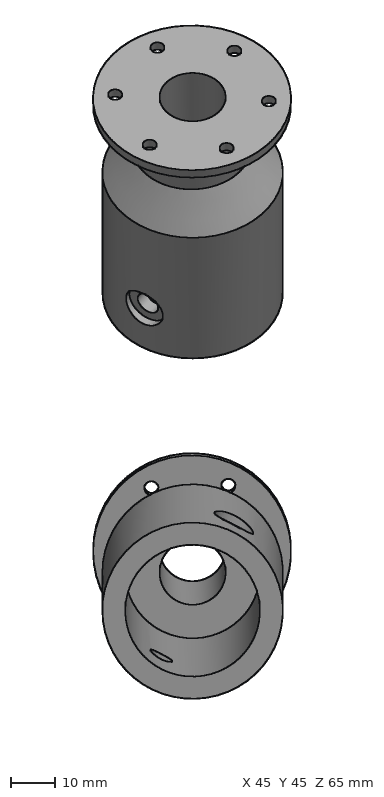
import cadquery as cq

total_height = 65.0
flange_diameter = 45.0
flange_thickness = 2.5
neck_diameter = 27.5
body_diameter = 41.0
body_height = 40.2
cone_top_diameter = 26.0
cone_top_height = 50.6
body_offset_y = 0.25

bore_diameter = 15.0
cavity_diameter = 30.6
cavity_depth = body_height

bolt_count = 6
bolt_diameter = 3.2
bolt_circle_diameter = 35.0

cross_hole_diameter = 5.5
cross_hole_height = 13.0
counterbore_diameter = 10.0
counterbore_depth = 2.0


def make_body():
    """Cylindrical body with its conical shoulder."""
    return (
        cq.Workplane("XZ", origin=(0, body_offset_y, 0))
        .lineTo(body_diameter / 2, 0)
        .lineTo(body_diameter / 2, body_height)
        .lineTo(cone_top_diameter / 2, cone_top_height)
        .lineTo(0, cone_top_height)
        .close()
        .revolve(360, (0, 0, 0), (0, 1, 0))
    )


def make_neck():
    """Neck that starts inside the body and runs up to the flange top."""
    return (
        cq.Workplane("XY", origin=(0, 0, body_height))
        .circle(neck_diameter / 2)
        .extrude(total_height - body_height)
    )


def make_flange():
    """Round flange with a ring of bolt holes, one of them on +Y."""
    return (
        cq.Workplane("XY", origin=(0, 0, total_height - flange_thickness))
        .circle(flange_diameter / 2)
        .extrude(flange_thickness)
        .faces(">Z")
        .workplane()
        .polarArray(bolt_circle_diameter / 2, 90, 360, bolt_count)
        .hole(bolt_diameter)
    )


def cylinder_along_y(diameter, start_y, length):
    """Cylinder along +Y at the height of the cross hole."""
    axis_start = cq.Vector(0, start_y, cross_hole_height)
    cylinder = cq.Solid.makeCylinder(diameter / 2, length, axis_start, cq.Vector(0, 1, 0))
    return cq.Workplane(cylinder)


result = make_body().union(make_neck()).union(make_flange())

bore = cq.Workplane("XY", origin=(0, body_offset_y, 0)).circle(bore_diameter / 2).extrude(total_height)
result = result.cut(bore)

cavity = cq.Workplane("XY", origin=(0, body_offset_y, 0)).circle(cavity_diameter / 2).extrude(cavity_depth)
result = result.cut(cavity)

result = result.cut(cylinder_along_y(cross_hole_diameter, -body_diameter, 2 * body_diameter))

front_floor_y = body_offset_y - body_diameter / 2 + counterbore_depth
back_floor_y = body_offset_y + body_diameter / 2 - counterbore_depth
result = result.cut(cylinder_along_y(counterbore_diameter, front_floor_y - body_diameter, body_diameter))
result = result.cut(cylinder_along_y(counterbore_diameter, back_floor_y, body_diameter))